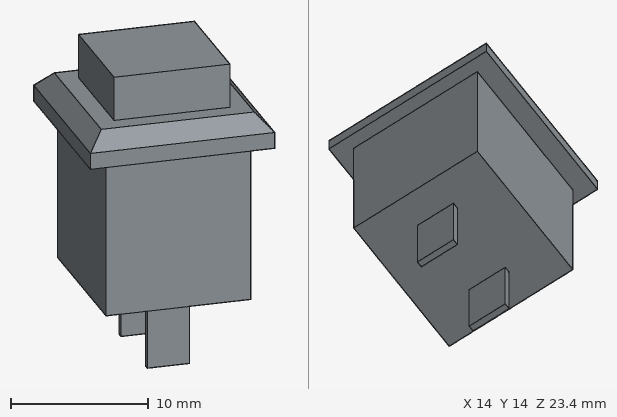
import cadquery as cq

total_height = 23.4

bezel_side = 14.0
bezel_rim_height = 1.25
bezel_slope_height = 1.29
bezel_slope_inset = 1.2
bezel_height = bezel_rim_height + bezel_slope_height

body_length = 12.0
body_width = 11.0
body_height = 12.0

pin_thickness = 0.5
pin_width = 3.2
pin_length = 5.5
pin_spacing = 6.5

cap_side = 8.8
cap_height = total_height - pin_length - body_height - bezel_height


def block(length, width, height, bottom, center_x=0):
    """Upright rectangular block, centred on Y = 0."""
    return (
        cq.Workplane("XY")
        .box(length, width, height, centered=(True, True, False))
        .translate((center_x, 0, bottom))
    )


bezel_top_side = bezel_side - 2 * bezel_slope_inset
rim = block(bezel_side, bezel_side, bezel_rim_height, 0)
slope = (
    cq.Workplane("XY", origin=(0, 0, bezel_rim_height))
    .rect(bezel_side, bezel_side)
    .workplane(offset=bezel_slope_height)
    .rect(bezel_top_side, bezel_top_side)
    .loft(ruled=True)
)
bezel = rim.union(slope)

body = block(body_length, body_width, body_height, -body_height)
cap = block(cap_side, cap_side, cap_height, bezel_height)

result = bezel.union(body).union(cap)

for side in (-1, 1):
    pin = block(
        pin_thickness, pin_width, pin_length, -body_height - pin_length, side * pin_spacing / 2
    )
    result = result.union(pin)